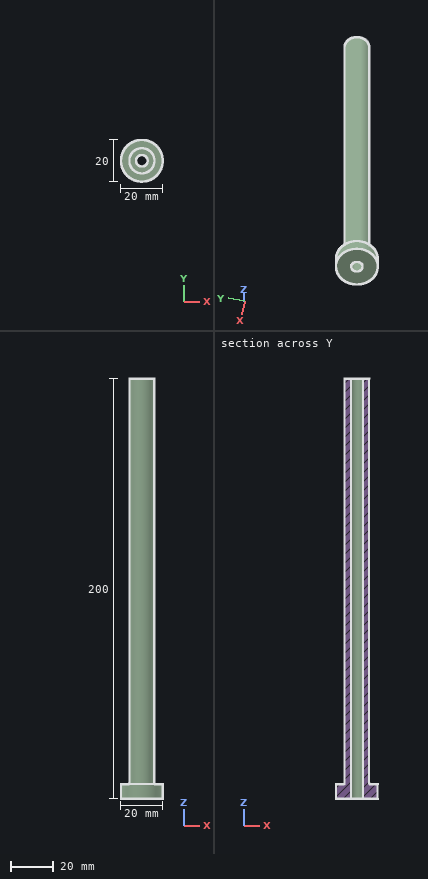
import cadquery as cq

total_length = 200.0
head_diameter = 20.0
head_height = 7.0
shank_diameter = 12.0
bore_diameter = 5.5
fillet_radius = 0.5

head_radius = head_diameter / 2
shank_radius = shank_diameter / 2
bore_radius = bore_diameter / 2

sleeve = (
    cq.Workplane("XY")
    .circle(head_radius)
    .extrude(head_height)
    .faces(">Z")
    .workplane()
    .circle(shank_radius)
    .extrude(total_length - head_height)
)

corner_size = shank_radius + fillet_radius
corner = cq.selectors.BoxSelector(
    (-corner_size, -corner_size, head_height - fillet_radius),
    (corner_size, corner_size, head_height + fillet_radius),
    boundingbox=True,
)
sleeve = sleeve.edges(corner).fillet(fillet_radius)

bore = cq.Workplane("XY").circle(bore_radius).extrude(total_length)

result = sleeve.cut(bore)